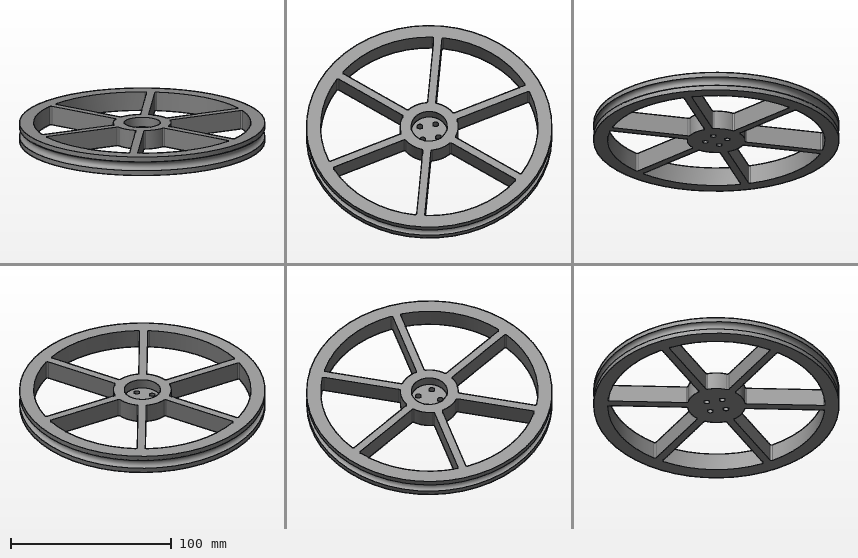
import cadquery as cq

wheel_diameter = 152.6
wheel_thickness = 12.0
rim_inner_diameter = 135.0
hub_diameter = 36.0
spoke_count = 6
spoke_width = 5.0
window_corner_radius = 1.0
groove_diameter = 5.6
recess_diameter = 22.5
recess_depth = wheel_thickness / 2
bolt_hole_count = 4
bolt_hole_diameter = 3.5
bolt_circle_diameter = 14.0

wheel_radius = wheel_diameter / 2
mid_height = wheel_thickness / 2


def make_windows():
    """Openings between the spokes, with rounded vertical corners."""
    ring = (
        cq.Workplane("XY")
        .circle(rim_inner_diameter / 2)
        .circle(hub_diameter / 2)
        .extrude(wheel_thickness)
    )
    spoke = (
        cq.Workplane("XY")
        .rect(spoke_width, wheel_diameter)
        .extrude(wheel_thickness)
    )
    for index in range(spoke_count // 2):
        ring = ring.cut(spoke.rotate((0, 0, 0), (0, 0, 1), index * 360 / spoke_count))
    return ring.edges("|Z").fillet(window_corner_radius)


def make_groove():
    """Round-bottomed groove around the outside of the rim."""
    return (
        cq.Workplane("XZ")
        .center(wheel_radius, mid_height)
        .circle(groove_diameter / 2)
        .revolve(360, (-wheel_radius, 0, 0), (-wheel_radius, 1, 0))
    )


def make_hub_recess():
    """Round recess in the top face of the hub."""
    return (
        cq.Workplane("XY")
        .workplane(offset=wheel_thickness - recess_depth)
        .circle(recess_diameter / 2)
        .extrude(recess_depth)
    )


def make_bolt_holes():
    """Through holes in the floor of the hub recess."""
    return (
        cq.Workplane("XY")
        .polarArray(bolt_circle_diameter / 2, 0, 360, bolt_hole_count)
        .circle(bolt_hole_diameter / 2)
        .extrude(wheel_thickness)
    )


wheel = cq.Workplane("XY").circle(wheel_radius).extrude(wheel_thickness)
wheel = wheel.cut(make_windows())
wheel = wheel.cut(make_groove())
wheel = wheel.cut(make_hub_recess())
result = wheel.cut(make_bolt_holes())